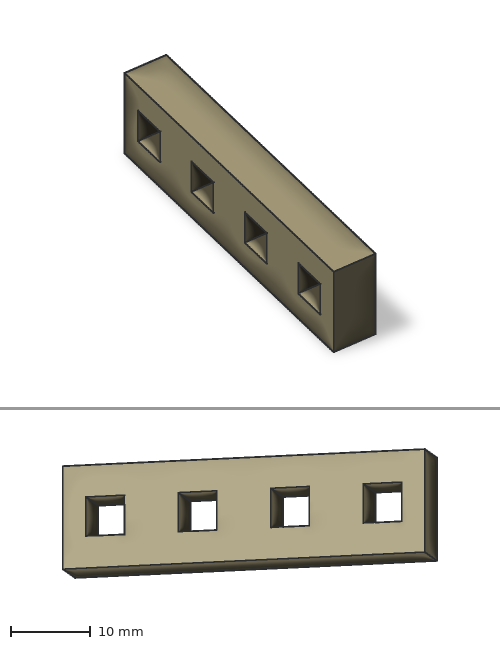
import cadquery as cq

thickness = 6.35
height = 13.17

hole_count = 4
hole_side = 5.0
hole_pitch = 12.0
end_margin = 3.0

length = (hole_count - 1) * hole_pitch + hole_side + 2 * end_margin


def make_bar():
    """Plain rectangular bar centred on the origin, long side along X."""
    return cq.Workplane("XY").box(length, thickness, height)


def cut_square_holes(bar):
    """Cut the row of square holes through the bar along Y."""
    return (
        bar.faces("<Y")
        .workplane(centerOption="CenterOfMass")
        .rarray(hole_pitch, 1, hole_count, 1)
        .rect(hole_side, hole_side)
        .cutThruAll()
    )


result = cut_square_holes(make_bar())